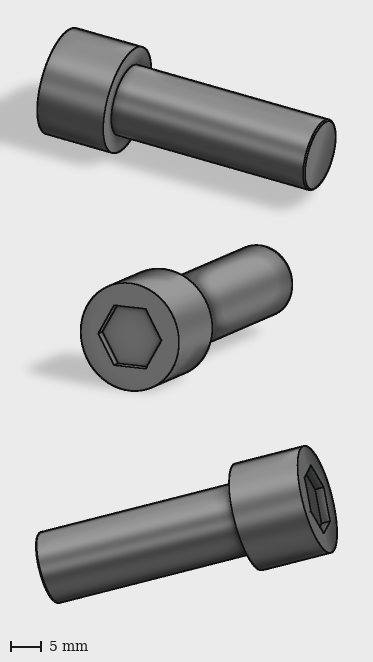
import cadquery as cq
import math

total_length = 47.0
shank_diameter = 12.0
head_diameter = 18.0
head_length = shank_diameter
tip_chamfer = 0.25
socket_across_flats = 10.0
socket_depth = 1.5


def make_head():
    return cq.Workplane("YZ").circle(head_diameter / 2).extrude(head_length)


def make_shank():
    shank = cq.Workplane("YZ").circle(shank_diameter / 2).extrude(total_length)
    return shank.faces(">X").chamfer(tip_chamfer)


def make_socket():
    across_corners = socket_across_flats / math.cos(math.pi / 6)
    return cq.Workplane("YZ").polygon(6, across_corners).extrude(socket_depth)


result = make_head().union(make_shank()).cut(make_socket())